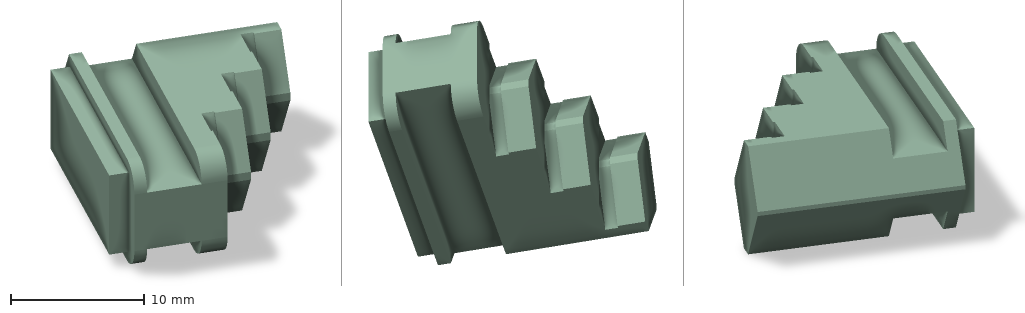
import cadquery as cq
import math

length = 20.0
depth = 16.3
height = 9.0
end_radius = 2.0
nose_run = 2.5
slope = math.tan(math.radians(60))

step_count = 3
first_tip = 6.0
tread = 5.0
rise = 3.0
tooth_run = 2.4
relief_inset = 0.2
relief_width = 1.0
relief_overlap = 0.15

groove_front = 1.0
groove_width = 4.25
groove_depth = 2.0

pad_left = 2.7
pad_length = 15.7
pad_height = 7.0
pad_thickness = 1.5


def block(x_min, x_max, y_min, y_max, z_min, z_max):
    """Box given by its limits along each axis."""
    return cq.Workplane("XY").box(
        x_max - x_min, y_max - y_min, z_max - z_min, centered=False
    ).translate((x_min, y_min, z_min))


def make_body():
    """Bar with a blunt V nose at the left and rounded right edges."""
    half = height / 2
    nose_half_flat = half - nose_run * slope
    outline = [
        (0, -nose_half_flat),
        (nose_run, -half),
        (length, -half),
        (length, half),
        (nose_run, half),
        (0, nose_half_flat),
    ]
    bar = cq.Workplane("XZ").polyline(outline).close().extrude(-depth)
    return bar.edges("|Y and >X").fillet(end_radius)


def space_beyond_tooth(tip, right, y_min, y_max):
    """Space to the right of a blunt V-shaped tooth whose flat tip lies at x = tip."""
    half = height / 2
    tip_half_flat = half - tooth_run * slope
    root = tip - tooth_run
    outline = [
        (root, -half),
        (tip, -tip_half_flat),
        (tip, tip_half_flat),
        (root, half),
        (right, half),
        (right, -half),
    ]
    space = cq.Workplane("XZ", origin=(0, y_min, 0)).polyline(outline).close()
    return space.extrude(-(y_max - y_min))


def cut_steps(body):
    """Cut the stairs, their teeth and the relief at each inside corner."""
    for step in range(step_count):
        tip = first_tip + step * tread
        back = depth - step * rise
        front = back - rise
        relief_front = front - relief_overlap
        relief_back = relief_front + relief_width
        body = body.cut(space_beyond_tooth(tip, length, front, back))
        body = body.cut(space_beyond_tooth(tip - relief_inset, tip, relief_front, relief_back))
    return body


def cut_grooves(body):
    """Cut matching grooves along X in the top and bottom faces."""
    half = height / 2
    groove_back = groove_front + groove_width
    floor = half - groove_depth
    for z_min, z_max in ((floor, half), (-half, -floor)):
        body = body.cut(block(0, length, groove_front, groove_back, z_min, z_max))
    return body


pad = block(pad_left, pad_left + pad_length, -pad_thickness, 0, -pad_height / 2, pad_height / 2)
result = cut_grooves(cut_steps(make_body())).union(pad)